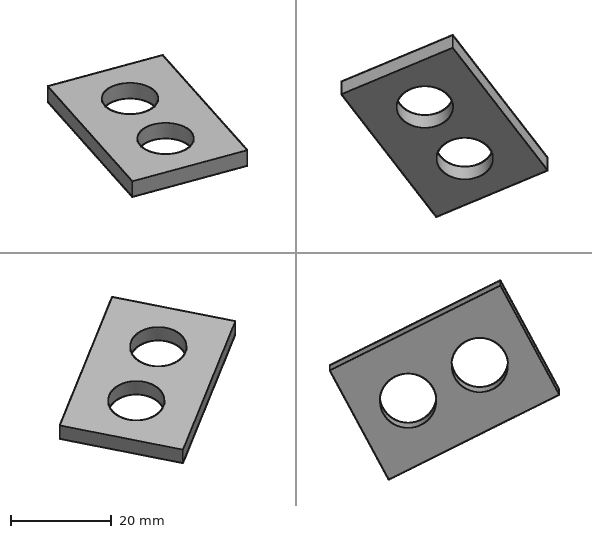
import cadquery as cq

plate_length = 38.1
plate_width = 25.4
plate_thickness = 3.75

hole_count = 2
hole_diameter = 11.18
hole_spacing = 16.0
first_hole_from_left_edge = 11.18


def make_plate():
    """Plain rectangular plate with one corner at the origin."""
    return cq.Workplane("XY").box(
        plate_length, plate_width, plate_thickness, centered=False
    )


def cut_holes(plate):
    """Cut the two round through holes."""
    hole_y = plate_width / 2
    hole_centres = [
        (first_hole_from_left_edge + index * hole_spacing, hole_y)
        for index in range(hole_count)
    ]
    cutters = (
        cq.Workplane("XY")
        .pushPoints(hole_centres)
        .circle(hole_diameter / 2)
        .extrude(plate_thickness)
    )
    return plate.cut(cutters)


result = cut_holes(make_plate())